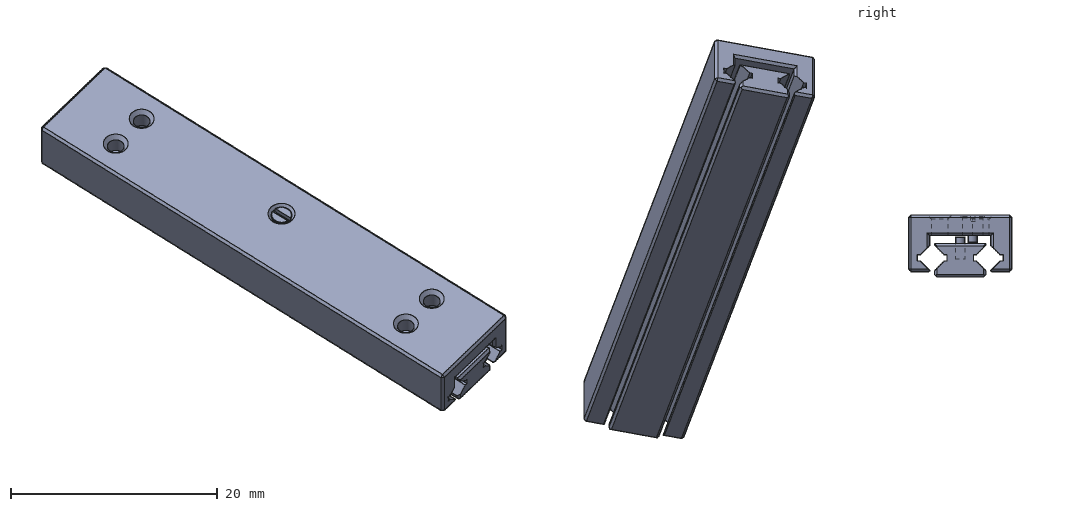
import cadquery as cq

LENGTH = 50.0
CHAMFER = 0.25

HOUSING_WIDTH = 10.0
HOUSING_TOP = 6.0
HOUSING_BOTTOM = 0.5
CEILING = 4.0
CAVITY_HALF_WIDTH = 2.95
LIP_CHAMFER = 0.1

RAIL_HALF_WIDTH = 2.5
RAIL_TOP = 3.25
RAIL_TOP_CHAMFER = 0.1

RACEWAY_Z = 1.85
RELIEF_HALF_HEIGHT = 0.3
HOUSING_RELIEF_MOUTH = 3.85
HOUSING_RELIEF_ROOT = 4.15
RAIL_RELIEF_MOUTH = 1.55
RAIL_RELIEF_ROOT = 1.3

MOUNT_PITCH_X = 36.0
MOUNT_PITCH_Y = 4.0
MOUNT_DIAMETER = 1.6
MOUNT_SINK_DIAMETER = 2.4

SCREW_X = 0.0
SCREW_Y = 1.2
SCREW_DIAMETER = 2.0
SCREW_SINK_DIAMETER = 2.6
SCREW_TOP = 5.85
SCREW_EDGE_CHAMFER = 0.05
SLOT_WIDTH = 0.45
SLOT_DEPTH = 0.5
POINT_DIAMETER = 0.9
POINT_BOTTOM = 3.35

PIN_DIAMETER = 0.9
PIN_TOP = 3.85
PIN_DEPTH = 1.5


def raceway_points(face_y, mouth_y, root_y):
    """One V raceway in the YZ plane, listed from its top edge to its bottom edge."""
    half_opening = RELIEF_HALF_HEIGHT + abs(mouth_y - face_y)
    upper = [
        (face_y, half_opening),
        (mouth_y, RELIEF_HALF_HEIGHT),
        (root_y, RELIEF_HALF_HEIGHT),
    ]
    lower = [(y, -dz) for y, dz in reversed(upper)]
    return [(y, RACEWAY_Z + dz) for y, dz in upper + lower]


def extrude_symmetric(half_outline):
    """Mirror a +Y half outline about Y = 0 and extrude it over the slide length."""
    other_half = [(-y, z) for y, z in reversed(half_outline)]
    return (
        cq.Workplane("YZ")
        .polyline(half_outline + other_half)
        .close()
        .extrude(LENGTH / 2, both=True)
    )


def cylinder(diameter, bottom, top, x=0.0, y=0.0):
    return (
        cq.Workplane("XY", origin=(x, y, bottom))
        .circle(diameter / 2)
        .extrude(top - bottom)
    )


def countersunk_cutter(diameter, sink_diameter, x, y):
    """A through hole in the roof with a 45-degree countersink at the top."""
    sink_depth = (sink_diameter - diameter) / 2
    sink = (
        cq.Workplane("XY", origin=(x, y, HOUSING_TOP))
        .circle(sink_diameter / 2)
        .workplane(offset=-sink_depth)
        .circle(diameter / 2)
        .loft()
    )
    return cylinder(diameter, CEILING, HOUSING_TOP, x, y).union(sink)


def end_mouth_cutter(end):
    """Flared mouth that chamfers the cavity roof and walls at one end (-1 or +1)."""
    raceway_top = RACEWAY_Z + RELIEF_HALF_HEIGHT + HOUSING_RELIEF_MOUTH - CAVITY_HALF_WIDTH
    section = [
        (-CAVITY_HALF_WIDTH, CEILING),
        (CAVITY_HALF_WIDTH, CEILING),
        (CAVITY_HALF_WIDTH, raceway_top - CHAMFER),
        (-CAVITY_HALF_WIDTH, raceway_top - CHAMFER),
    ]
    flared = [
        (y + CHAMFER * (1 if y > 0 else -1), z + (CHAMFER if z == CEILING else 0))
        for y, z in section
    ]
    return (
        cq.Workplane("YZ", origin=(end * LENGTH / 2, 0, 0))
        .polyline(flared)
        .close()
        .workplane(offset=-end * CHAMFER)
        .polyline(section)
        .close()
        .loft(ruled=True)
    )


def make_housing():
    block = (
        cq.Workplane("XY", origin=(0, 0, HOUSING_BOTTOM))
        .box(LENGTH, HOUSING_WIDTH, HOUSING_TOP - HOUSING_BOTTOM, centered=(True, True, False))
        .edges()
        .chamfer(CHAMFER)
    )
    raceway = raceway_points(CAVITY_HALF_WIDTH, HOUSING_RELIEF_MOUTH, HOUSING_RELIEF_ROOT)
    lip = [
        (CAVITY_HALF_WIDTH, HOUSING_BOTTOM + LIP_CHAMFER),
        (CAVITY_HALF_WIDTH + LIP_CHAMFER, HOUSING_BOTTOM),
    ]
    cavity = [(CAVITY_HALF_WIDTH, CEILING)] + raceway + lip
    housing = block.cut(extrude_symmetric(cavity))
    for end in (-1, 1):
        housing = housing.cut(end_mouth_cutter(end))
    for side_x in (-1, 1):
        for side_y in (-1, 1):
            x = side_x * MOUNT_PITCH_X / 2
            y = side_y * MOUNT_PITCH_Y / 2
            housing = housing.cut(countersunk_cutter(MOUNT_DIAMETER, MOUNT_SINK_DIAMETER, x, y))
    return housing.cut(countersunk_cutter(SCREW_DIAMETER, SCREW_SINK_DIAMETER, SCREW_X, SCREW_Y))


def make_rail():
    bar = (
        cq.Workplane("XY")
        .box(LENGTH, 2 * RAIL_HALF_WIDTH, RAIL_TOP, centered=(True, True, False))
        .faces("<X or >X")
        .edges()
        .chamfer(CHAMFER)
    )
    raceway = raceway_points(RAIL_HALF_WIDTH, RAIL_RELIEF_MOUTH, RAIL_RELIEF_ROOT)
    top_edge = [
        (RAIL_HALF_WIDTH - RAIL_TOP_CHAMFER, RAIL_TOP),
        (RAIL_HALF_WIDTH, RAIL_TOP - RAIL_TOP_CHAMFER),
    ]
    bottom_edge = [
        (RAIL_HALF_WIDTH, CHAMFER),
        (RAIL_HALF_WIDTH - CHAMFER, 0),
    ]
    outline = top_edge + raceway + bottom_edge
    pin_hole = cylinder(PIN_DIAMETER, RAIL_TOP - PIN_DEPTH, RAIL_TOP)
    return bar.intersect(extrude_symmetric(outline)).cut(pin_hole)


def make_set_screw():
    body = (
        cylinder(SCREW_DIAMETER, CEILING, SCREW_TOP, SCREW_X, SCREW_Y)
        .faces(">Z")
        .edges()
        .chamfer(SCREW_EDGE_CHAMFER)
    )
    point = cylinder(POINT_DIAMETER, POINT_BOTTOM, CEILING, SCREW_X, SCREW_Y)
    slot = cq.Workplane("XY", origin=(SCREW_X, SCREW_Y, SCREW_TOP - SLOT_DEPTH)).box(
        SCREW_DIAMETER, SLOT_WIDTH, SLOT_DEPTH, centered=(True, True, False)
    )
    return body.union(point).cut(slot)


def make_stop_pin():
    return cylinder(PIN_DIAMETER, RAIL_TOP - PIN_DEPTH, PIN_TOP)


housing = make_housing()
rail = make_rail()
set_screw = make_set_screw()
stop_pin = make_stop_pin()

result = cq.Compound.makeCompound(
    [housing.val(), rail.val(), set_screw.val(), stop_pin.val()]
)